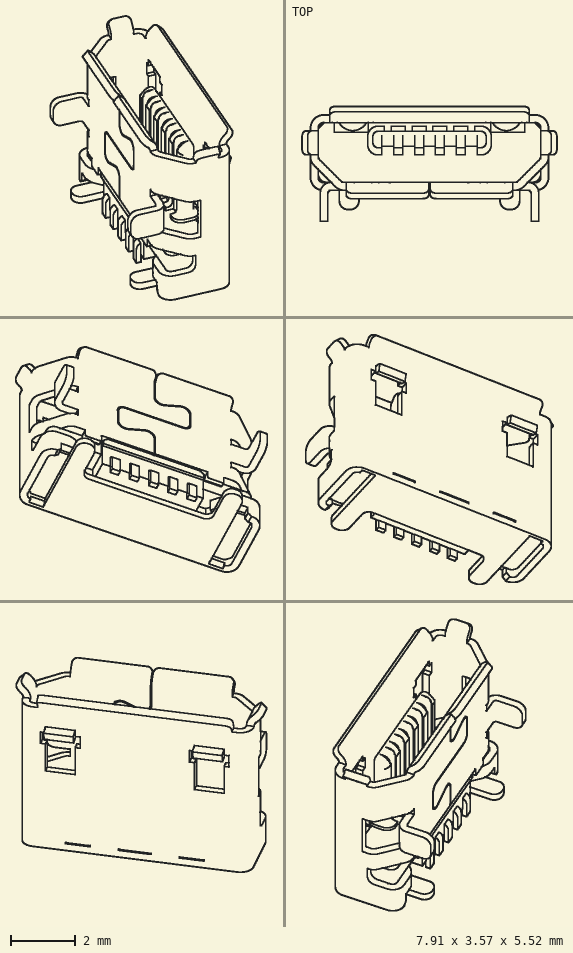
import cadquery as cq
import math


SHEET = 0.245
HALF_WIDTH = 3.695
BACK = 2.34
SHELL_TOP = 5.01
SHELL_BOTTOM = 1.495
BEND_RADIUS = 0.42
SLOPE_RUN = 0.885
INNER_HALF = HALF_WIDTH - SHEET
INNER_BACK = BACK - SHEET

LIP_INNER_RADIUS = 0.19
LIP_STRAIGHT = 0.29
LIP_CORNER = 0.18
BACK_LIP_HALF = 3.1
SIDE_LIP_FRONT = 1.1
SIDE_LIP_BACK = 1.84

WINDOW_BOTTOM = 2.15
WINDOW_TOP = 3.55
WINDOW_BACK = 1.25
FRONT_HALF = 2.59
WINDOW_CORNER = 0.04
LUG_BOTTOM = 2.4
LUG_TOP = 3.31
LUG_OUTER = 3.39
LUG_TIP = -0.965
LUG_BEND = 0.095
LUG_CORNER = 0.29

SEAM_WIDTH = 0.04
SEAM_LEFT = -1.235
SEAM_RIGHT = 1.2
SEAM_MIDDLE = 3.315
SEAM_ROOT = 0.67
SEAM_CREST = 1.16
SEAM_RADIUS = 0.245

HOOK_INNER = 1.795
HOOK_OUTER = 2.34
HOOK_BOTTOM = 1.2
HOOK_CORNER = 0.055
HOOK_BEVEL = 0.12

FOOT_TOP = 0.91
FOOT_BACK = 1.075
SLOT_CORNER = 0.24
FOOT_RADIUS = 0.395
FOOT_FLAT_END = 2.91
FOOT_TURN_RADIUS = 0.54
FOOT_END = 2.12
FOOT_NOTCH_HALF = 3.16
FOOT_NOTCH_TOP = 0.395
FOOT_NOTCH_FLARE = 0.12
FOOT_END_CORNER = 0.06
BACK_BEVEL = 0.135

HOLE_CENTER = 2.38
HOLE_WIDTH = 0.95
HOLE_BOTTOM = 2.77
HOLE_TOP = 4.35
HOLE_WIDE_WIDTH = 1.265
HOLE_WIDE_BOTTOM = 3.73
HOLE_WIDE_TOP = 4.14
TAB_TIP_TOP = (2.595, 4.26)
TAB_TIP_BOTTOM = (2.52, 4.0)
TAB_ROOT_DROP = 0.3

PLATE_FRONT = 0.665
LEG_INNER = 2.18
LEG_OUTER = 2.8
LEG_TIP = -0.6
LEG_TIP_RADIUS = 0.28
LEG_ROOT_RADIUS = 0.245
PLATE_GAP = 0.04
GAP_MIDDLE_HALF = 0.52
GAP_SIDE_INNER = 1.42
GAP_SIDE_OUTER = 2.215

INSULATOR_BOTTOM = SHEET + PLATE_GAP
WING_BOTTOM = 0.885
WING_CORNER = 0.245
RECESS_BACK = 0.92
INSULATOR_BACK_CHAMFER = 0.175
BLOCK_HALF = 1.7
BLOCK_FRONT = 0.14
BLOCK_STRIP_FRONT = 0.055
BLOCK_CHAMFER = 0.13
POCKET_INNER = 1.9
POCKET_OUTER = 2.96
POCKET_FRONT = 1.8
POCKET_DEPTH = 0.08
SCALLOP_RADIUS = 0.49
SCALLOP_DEPTH = 0.095

PIN_COUNT = 5
PIN_PITCH = 0.65
TONGUE_HALF = 1.755
TONGUE_FRONT = 1.32
TONGUE_BACK = 1.83
TONGUE_TOP = 4.23
TONGUE_CREST = 1.69
TONGUE_BACK_RADIUS = TONGUE_BACK - TONGUE_CREST
TONGUE_NOSE_RADIUS = 0.29
TONGUE_END_RADIUS = 0.16
BASE_MARGIN = 0.16
BASE_HALF = TONGUE_HALF + BASE_MARGIN
BASE_FRONT = 1.1
BASE_BACK = TONGUE_BACK + BASE_MARGIN
BASE_TOP = 1.605
BASE_FLARE = 0.15
BASE_CORNER = TONGUE_END_RADIUS + BASE_FLARE
CONTACT_NOSE_RADIUS = 0.21
CHANNEL_WIDTH = 0.37
CONTACT_FRONT = 1.37
BACK_GROOVE_WIDTH = 0.21
PIN_WIDTH = 0.27
PIN_TOP = 0.735
PIN_DEPTH = 0.16
PIN_RADIUS = 0.21
PIN_POSITIONS = [(i - (PIN_COUNT - 1) / 2) * PIN_PITCH for i in range(PIN_COUNT)]

BEND = 45
COS45 = math.cos(math.radians(BEND))
PICK = 0.01


def block(x0, x1, y0, y1, z0, z1):
    """Box between opposite corners."""
    return cq.Workplane("XY").box(x1 - x0, y1 - y0, z1 - z0, centered=False).translate((x0, y0, z0))


def both_sides(body):
    """Body together with its mirror image across the YZ plane."""
    return body.union(body.mirror("YZ"))


def shell_prism(inset, bottom, top):
    """Prism of the D-shaped shell outline, inset by a wall thickness."""
    half = HALF_WIDTH - inset
    run = SLOPE_RUN - inset * (2 - 1 / COS45)
    points = [
        (-half, BACK - inset),
        (-half, inset + run),
        (-half + run, inset),
        (half - run, inset),
        (half, inset + run),
        (half, BACK - inset),
    ]
    prism = cq.Workplane("XY").workplane(offset=bottom).polyline(points).close().extrude(top - bottom)
    return prism.edges("|Z").fillet(BEND_RADIUS - inset)


def shell_tube(bottom, top):
    return shell_prism(0, bottom, top).cut(shell_prism(SHEET, bottom, top))


def lip(width):
    """Lip bent 45 degrees toward +X; its wall spans X = -SHEET..0, width centred on Y."""
    cx = LIP_INNER_RADIUS
    outer = LIP_INNER_RADIUS + SHEET

    def on_bend(radius, degrees):
        angle = math.radians(degrees)
        return (cx - radius * math.cos(angle), radius * math.sin(angle))

    def tip(radius):
        x, z = on_bend(radius, BEND)
        return (x + LIP_STRAIGHT * COS45, z + LIP_STRAIGHT * COS45)

    profile = (
        cq.Workplane("XZ")
        .moveTo(0, 0)
        .threePointArc(on_bend(LIP_INNER_RADIUS, BEND / 2), on_bend(LIP_INNER_RADIUS, BEND))
        .lineTo(*tip(LIP_INNER_RADIUS))
        .lineTo(*tip(outer))
        .lineTo(*on_bend(outer, BEND))
        .threePointArc(on_bend(outer, BEND / 2), (-SHEET, 0))
        .close()
        .extrude(width / 2, both=True)
    )
    tip_face = cq.selectors.DirectionMinMaxSelector(cq.Vector(1, 0, 1), True)
    return profile.faces(tip_face).edges("not |Y").fillet(LIP_CORNER)


def lips():
    side = lip(SIDE_LIP_BACK - SIDE_LIP_FRONT)
    side = side.translate((HALF_WIDTH, (SIDE_LIP_FRONT + SIDE_LIP_BACK) / 2, SHELL_TOP))
    back = lip(2 * BACK_LIP_HALF).rotate((0, 0, 0), (0, 0, 1), 90).translate((0, BACK, SHELL_TOP))
    front_width = FRONT_HALF - SEAM_WIDTH / 2
    front = lip(front_width).rotate((0, 0, 0), (0, 0, 1), -90)
    front = front.translate(((FRONT_HALF + SEAM_WIDTH / 2) / 2, 0, SHELL_TOP))
    return both_sides(side).union(back).union(both_sides(front))


def seam():
    """Thin S-shaped dovetail cut through the front plate."""
    far = -2 * HALF_WIDTH
    top = SHELL_TOP + SHEET
    bottom = SHELL_BOTTOM - SHEET
    corners = [
        (0, SEAM_MIDDLE + SEAM_ROOT),
        (SEAM_RIGHT, SEAM_MIDDLE + SEAM_CREST),
        (SEAM_RIGHT, SEAM_MIDDLE),
        (SEAM_LEFT, SEAM_MIDDLE),
        (SEAM_LEFT, SEAM_MIDDLE - SEAM_CREST),
        (0, SEAM_MIDDLE - SEAM_ROOT),
    ]
    outline = [(far, top), (0, top), *corners, (0, bottom), (far, bottom)]
    region = cq.Workplane("XZ").polyline(outline).close().extrude(-SHEET)
    inside = cq.selectors.BoxSelector((SEAM_LEFT - PICK, -PICK, bottom + PICK),
                                      (SEAM_RIGHT + PICK, SHEET + PICK, top - PICK))
    region = region.edges("|Y").edges(inside).fillet(SEAM_RADIUS)

    def grown(distance):
        wire = region.faces("<Y").wires().val().offset2D(distance)[0]
        return cq.Workplane("XY").add(cq.Solid.extrudeLinear(wire, [], cq.Vector(0, SHEET, 0)))

    band = grown(SEAM_WIDTH / 2).cut(grown(-SEAM_WIDTH / 2))
    return band.intersect(block(-FRONT_HALF, FRONT_HALF, 0, SHEET, SHELL_BOTTOM, SHELL_TOP))


def side_window():
    cutter = block(FRONT_HALF, 2 * HALF_WIDTH, -SHEET, WINDOW_BACK, WINDOW_BOTTOM, WINDOW_TOP)
    return cutter.edges("|X and >Y").fillet(WINDOW_CORNER)


def lug():
    """Mounting lug bent forward from the side of the front plate."""
    inner = LUG_OUTER - SHEET
    outer_radius = LUG_BEND + SHEET
    outer_mid = outer_radius * (1 - COS45)
    inner_mid = LUG_BEND * (1 - COS45)
    body = (
        cq.Workplane("XY")
        .workplane(offset=LUG_BOTTOM)
        .moveTo(FRONT_HALF, SHEET)
        .lineTo(LUG_OUTER - outer_radius, SHEET)
        .threePointArc((LUG_OUTER - outer_mid, SHEET - outer_mid), (LUG_OUTER, -LUG_BEND))
        .lineTo(LUG_OUTER, LUG_TIP)
        .lineTo(inner, LUG_TIP)
        .lineTo(inner, -LUG_BEND)
        .threePointArc((inner - inner_mid, -inner_mid), (inner - LUG_BEND, 0))
        .lineTo(FRONT_HALF, 0)
        .close()
        .extrude(LUG_TOP - LUG_BOTTOM)
    )
    return body.edges("|X and <Y").fillet(LUG_CORNER)


def hook():
    body = block(HOOK_INNER, HOOK_OUTER, 0, SHEET, HOOK_BOTTOM, SHELL_BOTTOM)
    body = body.edges("|Y and <Z").fillet(HOOK_CORNER)
    bevel = (
        cq.Workplane("YZ")
        .moveTo(SHEET, HOOK_BOTTOM)
        .lineTo(SHEET, HOOK_BOTTOM + HOOK_BEVEL)
        .lineTo(SHEET - HOOK_BEVEL, HOOK_BOTTOM)
        .close()
        .extrude(HALF_WIDTH)
    )
    return body.cut(bevel)


def foot():
    """Strip that wraps from the side wall round to the front and turns inward."""
    corner_in = FOOT_RADIUS - SHEET
    turn_in = FOOT_TURN_RADIUS - SHEET
    corner_x = HALF_WIDTH - FOOT_RADIUS
    turn_end_x = FOOT_FLAT_END - FOOT_TURN_RADIUS * COS45
    end_y = FOOT_TURN_RADIUS * (1 - COS45) + turn_end_x - FOOT_END
    mid_sin = math.sin(math.radians(BEND / 2))
    mid_cos = math.cos(math.radians(BEND / 2))

    def turn(radius, sine, cosine):
        return (FOOT_FLAT_END - radius * sine, FOOT_TURN_RADIUS - radius * cosine)

    body = (
        cq.Workplane("XY")
        .moveTo(HALF_WIDTH, FOOT_BACK)
        .lineTo(HALF_WIDTH, FOOT_RADIUS)
        .threePointArc((corner_x + FOOT_RADIUS * COS45, FOOT_RADIUS * (1 - COS45)), (corner_x, 0))
        .lineTo(FOOT_FLAT_END, 0)
        .threePointArc(turn(FOOT_TURN_RADIUS, mid_sin, mid_cos), turn(FOOT_TURN_RADIUS, COS45, COS45))
        .lineTo(FOOT_END, end_y)
        .lineTo(FOOT_END + SHEET * COS45, end_y + SHEET * COS45)
        .lineTo(*turn(turn_in, COS45, COS45))
        .threePointArc(turn(turn_in, mid_sin, mid_cos), (FOOT_FLAT_END, SHEET))
        .lineTo(corner_x, SHEET)
        .threePointArc((corner_x + corner_in * COS45, FOOT_RADIUS - corner_in * COS45),
                       (INNER_HALF, FOOT_RADIUS))
        .lineTo(INNER_HALF, FOOT_BACK)
        .close()
        .extrude(SHELL_BOTTOM)
    )
    slot = block(0, 2 * HALF_WIDTH, -SHEET, FOOT_BACK, FOOT_TOP, SHELL_BOTTOM)
    slot = slot.edges("|X and >Y and <Z").fillet(SLOT_CORNER)
    notch = (
        cq.Workplane("XZ")
        .polyline([
            (0, 0),
            (FOOT_NOTCH_HALF + FOOT_NOTCH_FLARE, 0),
            (FOOT_NOTCH_HALF, FOOT_NOTCH_FLARE),
            (FOOT_NOTCH_HALF, FOOT_NOTCH_TOP),
            (0, FOOT_NOTCH_TOP),
        ])
        .close()
        .extrude(-FOOT_BACK)
    )
    body = body.cut(slot).cut(notch)
    tip = cq.selectors.DirectionMinMaxSelector(cq.Vector(-1, 1, 0), True)
    return body.faces(tip).edges("not |Z").fillet(FOOT_END_CORNER)


def back_hole():
    half = HOLE_WIDTH / 2
    wide = HOLE_WIDE_WIDTH / 2
    narrow = block(HOLE_CENTER - half, HOLE_CENTER + half, INNER_BACK, BACK, HOLE_BOTTOM, HOLE_TOP)
    return narrow.union(
        block(HOLE_CENTER - wide, HOLE_CENTER + wide, INNER_BACK, BACK, HOLE_WIDE_BOTTOM, HOLE_WIDE_TOP)
    )


def spring_tab():
    """Tab bent outward from the upper edge of a back hole."""
    return (
        cq.Workplane("YZ")
        .workplane(offset=HOLE_CENTER - HOLE_WIDTH / 2)
        .polyline([
            (INNER_BACK, HOLE_TOP),
            (BACK, HOLE_TOP),
            TAB_TIP_TOP,
            TAB_TIP_BOTTOM,
            (BACK, HOLE_TOP - TAB_ROOT_DROP),
        ])
        .close()
        .extrude(HOLE_WIDTH)
    )


def back_bevel():
    return (
        cq.Workplane("YZ")
        .workplane(offset=LEG_OUTER)
        .polyline([(INNER_BACK, 0), (INNER_BACK + BACK_BEVEL, 0), (INNER_BACK, BACK_BEVEL)])
        .close()
        .extrude(HALF_WIDTH - BEND_RADIUS - LEG_OUTER)
    )


def bottom_plate():
    """Plate across the bottom with two solder legs reaching forward."""
    plate = block(-LEG_OUTER, LEG_OUTER, PLATE_FRONT, INNER_BACK, 0, SHEET)
    leg = block(LEG_INNER, LEG_OUTER, LEG_TIP, PLATE_FRONT, 0, SHEET)
    leg = leg.edges("|Z and <Y").fillet(LEG_TIP_RADIUS)
    plate = plate.union(both_sides(leg))
    roots = cq.selectors.BoxSelector((-LEG_INNER - PICK, PLATE_FRONT - PICK, 0),
                                     (LEG_INNER + PICK, PLATE_FRONT + PICK, SHEET))
    return plate.edges("|Z").edges(roots).fillet(LEG_ROOT_RADIUS)


def shell():
    body = shell_tube(SHELL_BOTTOM, SHELL_TOP)
    body = body.cut(both_sides(side_window())).cut(seam())
    lower = shell_tube(0, SHELL_BOTTOM)
    lower = lower.intersect(block(-HALF_WIDTH, HALF_WIDTH, FOOT_BACK, BACK, 0, SHELL_BOTTOM))
    body = body.union(lower).cut(both_sides(back_hole()))
    gap_z = (SHEET, INSULATOR_BOTTOM)
    body = body.cut(block(-GAP_MIDDLE_HALF, GAP_MIDDLE_HALF, INNER_BACK, BACK, *gap_z))
    body = body.cut(both_sides(block(GAP_SIDE_INNER, GAP_SIDE_OUTER, INNER_BACK, BACK, *gap_z)))
    body = body.cut(both_sides(back_bevel()))
    for feature in (lug(), hook(), foot(), spring_tab()):
        body = body.union(both_sides(feature))
    return body.union(lips()).union(bottom_plate())


def insulator():
    body = block(-INNER_HALF, INNER_HALF, SHEET, INNER_BACK, INSULATOR_BOTTOM, SHELL_BOTTOM)
    body = body.edges("|Z and <Y").fillet(WING_CORNER)
    body = body.edges("|Z and >Y").chamfer(INSULATOR_BACK_CHAMFER)
    recess = (
        cq.Workplane("XY")
        .workplane(offset=INSULATOR_BOTTOM)
        .polyline([
            (BLOCK_HALF, SHEET),
            (BLOCK_HALF, RECESS_BACK),
            (FOOT_END, RECESS_BACK),
            (FOOT_END + RECESS_BACK - SHEET, SHEET),
        ])
        .close()
        .extrude(WING_BOTTOM - INSULATOR_BOTTOM)
    )
    pocket = block(POCKET_INNER, POCKET_OUTER, POCKET_FRONT, INNER_BACK,
                   SHELL_BOTTOM - POCKET_DEPTH, SHELL_BOTTOM)
    scallop = (
        cq.Workplane("XY")
        .workplane(offset=SHELL_BOTTOM - SCALLOP_DEPTH)
        .center(HOLE_CENTER, BACK)
        .circle(SCALLOP_RADIUS)
        .extrude(SCALLOP_DEPTH)
    )
    for cutter in (recess, pocket, scallop):
        body = body.cut(both_sides(cutter))
    front = block(-BLOCK_HALF, BLOCK_HALF, BLOCK_FRONT, SHEET, INSULATOR_BOTTOM, SHELL_BOTTOM)
    strip = block(-BLOCK_HALF, BLOCK_HALF, BLOCK_STRIP_FRONT, SHEET, HOOK_BOTTOM, SHELL_BOTTOM)
    front = front.union(strip).edges("|Y and >Z").chamfer(BLOCK_CHAMFER)
    return body.union(front)


def tongue_back_half(profile, width, front):
    """Close a tongue profile from its top crest over the back, and extrude it centred on X."""
    return (
        profile.radiusArc((TONGUE_BACK, TONGUE_TOP - TONGUE_BACK_RADIUS), TONGUE_BACK_RADIUS)
        .lineTo(TONGUE_BACK, INSULATOR_BOTTOM)
        .lineTo(front, INSULATOR_BOTTOM)
        .close()
        .extrude(width / 2, both=True)
    )


def tongue_bar():
    """Tongue blade whose front edge slopes at 45 degrees into a rounded nose."""
    slope_top_y = TONGUE_CREST - TONGUE_NOSE_RADIUS * COS45
    slope_top_z = TONGUE_TOP - TONGUE_NOSE_RADIUS * (1 - COS45)
    profile = (
        cq.Workplane("YZ")
        .moveTo(TONGUE_FRONT, INSULATOR_BOTTOM)
        .lineTo(TONGUE_FRONT, slope_top_z - (slope_top_y - TONGUE_FRONT))
        .lineTo(slope_top_y, slope_top_z)
        .radiusArc((TONGUE_CREST, TONGUE_TOP), TONGUE_NOSE_RADIUS)
    )
    return tongue_back_half(profile, 2 * TONGUE_HALF, TONGUE_FRONT)


def contact_bar():
    """Contact set in a tongue channel, with a fully rounded front edge."""
    profile = (
        cq.Workplane("YZ")
        .moveTo(CONTACT_FRONT, INSULATOR_BOTTOM)
        .lineTo(CONTACT_FRONT, TONGUE_TOP - CONTACT_NOSE_RADIUS)
        .radiusArc((CONTACT_FRONT + CONTACT_NOSE_RADIUS, TONGUE_TOP), CONTACT_NOSE_RADIUS)
        .lineTo(TONGUE_CREST, TONGUE_TOP)
    )
    return tongue_back_half(profile, CHANNEL_WIDTH, CONTACT_FRONT)


def tongue():
    base = block(-BASE_HALF, BASE_HALF, BASE_FRONT, BASE_BACK, INSULATOR_BOTTOM, BASE_TOP)
    base = base.edges("|Z").fillet(BASE_CORNER)
    bar = tongue_bar().faces("<X or >X").edges("not <Z").fillet(TONGUE_END_RADIUS)
    body = base.union(bar)
    seat = cq.selectors.BoxSelector((-TONGUE_HALF - PICK, TONGUE_FRONT - PICK, BASE_TOP - PICK),
                                    (TONGUE_HALF + PICK, TONGUE_BACK + PICK, BASE_TOP + PICK), True)
    body = body.edges(seat).fillet(BASE_FLARE)
    contact = contact_bar()
    flare_top = BASE_TOP + BASE_FLARE
    for x in PIN_POSITIONS:
        half = CHANNEL_WIDTH / 2
        body = body.cut(block(x - half, x + half, BASE_FRONT, TONGUE_BACK, SHELL_BOTTOM, TONGUE_TOP))
        body = body.union(contact.translate((x, 0, 0)))
        half = BACK_GROOVE_WIDTH / 2
        body = body.cut(block(x - half, x + half, TONGUE_BACK, BASE_BACK, SHELL_BOTTOM, flare_top))
    return body


def pin(x):
    """Solder pin with a rounded shoulder, running down the front of the insulator."""
    half = PIN_WIDTH / 2
    body = block(x - half, x + half, 0, SHEET, 0, PIN_TOP)
    body = body.edges("|X and <Y and >Z").fillet(PIN_RADIUS)
    return body.cut(block(x - half, x + half, PIN_DEPTH, SHEET, 0, INSULATOR_BOTTOM))


result = shell().union(insulator()).union(tongue())
for position in PIN_POSITIONS:
    result = result.union(pin(position))